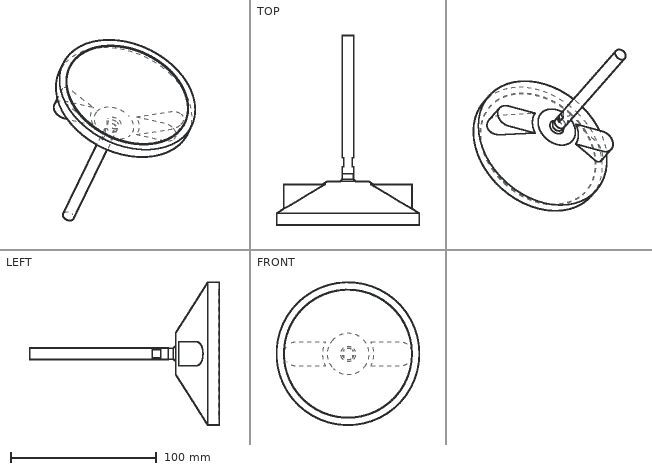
import cadquery as cq
import math

total_height = 130.0

plate_diameter = 98.0
rim_height = 8.0
plate_height = 30.0
plate_top_diameter = 28.5

pad_diameter = 87.5
groove_diameter = 88.0
groove_depth = 0.6

bar_length = 88.0
bar_width = 16.4
bar_top = 28.0

ball_diameter = 12.5
neck_diameter = 7.8
rod_diameter = 8.0
neck_bottom = 31.5
ball_radius = ball_diameter / 2
ball_center = neck_bottom - math.sqrt(ball_radius**2 - (neck_diameter / 2) ** 2)
rod_bottom = 35.1

flat_spacing = 6.0
flat_bottom = 40.0
flat_height = 6.0


def plane_at(height):
    """Workplane normal to the foot axis; positive extrusion runs toward the underside."""
    return cq.Workplane("XZ", origin=(0, height, 0))


def make_turned_body():
    """Plate, neck and rod as one revolved profile, joined to the ball."""
    profile = [
        (0, 0),
        (plate_diameter / 2, 0),
        (plate_diameter / 2, rim_height),
        (plate_top_diameter / 2, plate_height),
        (neck_diameter / 2, plate_height),
        (neck_diameter / 2, rod_bottom),
        (rod_diameter / 2, rod_bottom),
        (rod_diameter / 2, total_height),
        (0, total_height),
    ]
    body = cq.Workplane("XY").polyline(profile).close().revolve(360, (0, 0), (0, 1))
    ball = plane_at(ball_center).sphere(ball_radius)
    return body.union(ball)


def make_bar():
    """Round-ended bar that rises from the rim through the cone."""
    return plane_at(bar_top).slot2D(bar_length, bar_width).extrude(bar_top - rim_height / 2)


def make_groove():
    """Ring-shaped cutter for the groove in the underside."""
    return plane_at(0).circle(groove_diameter / 2).circle(pad_diameter / 2).extrude(-groove_depth)


def make_flat_cutter(side):
    """Block that removes the rod beyond one wrench flat; side is -1 or 1."""
    block = cq.Workplane("XY").box(rod_diameter, flat_height, 2 * rod_diameter)
    offset = (flat_spacing + rod_diameter) / 2
    return block.translate((side * offset, flat_bottom + flat_height / 2, 0))


result = make_turned_body().union(make_bar()).cut(make_groove())
for side in (-1, 1):
    result = result.cut(make_flat_cutter(side))